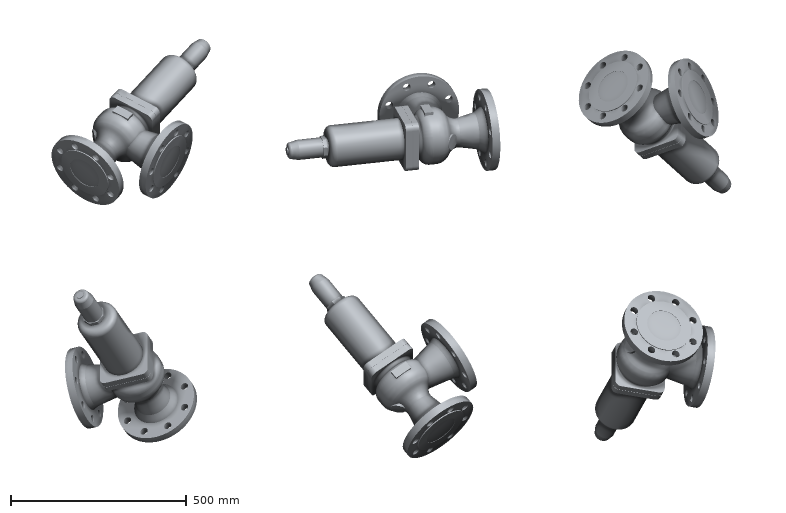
import cadquery as cq
import math


FLANGE_DIAMETER = 235
FLANGE_THICKNESS = 23.0
BOLT_COUNT = 8
BOLT_HOLE_DIAMETER = 22.0
BOLT_CIRCLE_DIAMETER = 190.0
RAISED_FACE_DIAMETER = 163
RAISED_FACE_HEIGHT = 3.0
BORE_DIAMETER = 100.0
BORE_RECESS_DEPTH = 1.0

INLET_FLANGE_TOP = RAISED_FACE_HEIGHT + FLANGE_THICKNESS
INLET_HUB_RADIUS = 67.0
INLET_HUB_END = 47.5
INLET_CONE_RADIUS = 53.0
INLET_CONE_END = 101.0
THROAT_RADIUS = 41.5

BULB_RADIUS = 82.5
BULB_BAND_START = 172.0
BULB_BAND_END = 190.0
BULB_LOWER_ARC = 42
BULB_UPPER_ARC = 30

COLLAR_RADIUS = 62.5
COLLAR_END = 226.5
COLLAR_LOWER_FILLET = 5.5

PLATE_WIDTH = 147.5
PLATE_CORNER_RADIUS = 17.5
PLATE_BOTTOM = 231.0
PLATE_SPLIT = 248.0
GASKET_THICKNESS = 3.0
GASKET_INSET = 0.5
PLATE_TOP = 270.0

HOUSING_RADIUS = 60
HOUSING_TOP = 484.0
HOUSING_TOP_ROUND = 16.0
CAP_COLLAR_RADIUS = 27.0
NUT_START = 489.0
NUT_END = 501.0
NUT_WIDTH = 61.0
NUT_SIDES = 8
CAP_RADIUS = 29.0
CAP_TAPER_START = 571.5
CAP_TAPER_END = 591.0
CAP_TAPER_RADIUS = 24
CAP_TOP = 599.5
CAP_TOP_RADIUS = CAP_TAPER_RADIUS - (CAP_TOP - CAP_TAPER_END)
CAP_TIP_RADIUS = 11.0
TOTAL_LENGTH = 603

OUTLET_AXIS_Y = 175.5
OUTLET_FACE_X = 175
OUTLET_FLANGE_X = OUTLET_FACE_X - RAISED_FACE_HEIGHT - FLANGE_THICKNESS
OUTLET_HUB_X = 133.0
OUTLET_HUB_RADIUS = 67.5
OUTLET_CONE_RADIUS = 61.0
OUTLET_ROOT_RADIUS = 35.5

BOSS_DIAMETER = 45.0
BOSS_X = -58.0
BOSS_Y = 128.0
BOSS_LENGTH = 48

LABEL_WIDTH = 53.0
LABEL_START = 177.0
LABEL_LENGTH = 25.5
LABEL_TOP = 87.0


def along_y(start):
    """Workplane square to the Y axis whose extrusions run toward +Y."""
    return cq.Workplane(cq.Plane(origin=(0, start, 0), xDir=(1, 0, 0), normal=(0, 1, 0)))


def pipe_flange(face_center, inward):
    """Flange whose sealing face sits at face_center; material runs inward."""
    plane = cq.Plane(origin=face_center, xDir=(0, 0, 1), normal=inward)
    face = cq.Workplane(plane)
    raised = face.circle(RAISED_FACE_DIAMETER / 2).extrude(RAISED_FACE_HEIGHT)
    disc = (
        face.workplane(offset=RAISED_FACE_HEIGHT)
        .circle(FLANGE_DIAMETER / 2)
        .extrude(FLANGE_THICKNESS)
    )
    holes = (
        face.polarArray(BOLT_CIRCLE_DIAMETER / 2, 180 / BOLT_COUNT, 360, BOLT_COUNT)
        .circle(BOLT_HOLE_DIAMETER / 2)
        .extrude(RAISED_FACE_HEIGHT + FLANGE_THICKNESS)
    )
    recess = face.circle(BORE_DIAMETER / 2).extrude(BORE_RECESS_DEPTH)
    return disc.union(raised).cut(holes).cut(recess)


def arc_point(center, radius, angle):
    """Point on a circle at an angle in degrees."""
    return (
        center[0] + radius * math.cos(math.radians(angle)),
        center[1] + radius * math.sin(math.radians(angle)),
    )


def valve_body():
    """Inlet neck, bulb and collar turned about the Y axis."""
    lower_center = (BULB_RADIUS - BULB_LOWER_ARC, BULB_BAND_START)
    upper_center = (BULB_RADIUS - BULB_UPPER_ARC, BULB_BAND_END)

    rise = lower_center[1] - INLET_CONE_END
    gap = lower_center[0] - THROAT_RADIUS
    throat_arc = (rise**2 + gap**2 - BULB_LOWER_ARC**2) / (2 * (BULB_LOWER_ARC + gap))
    throat_center = (THROAT_RADIUS + throat_arc, INLET_CONE_END)
    tangent_angle = math.degrees(
        math.atan2(rise, lower_center[0] - throat_center[0])
    )
    throat_end = arc_point(throat_center, throat_arc, tangent_angle)
    throat_middle = arc_point(throat_center, throat_arc, (180 + tangent_angle) / 2)
    lower_middle = arc_point(lower_center, BULB_LOWER_ARC, (tangent_angle - 180) / 2)

    fillet_center_x = COLLAR_RADIUS + COLLAR_LOWER_FILLET
    reach = BULB_UPPER_ARC + COLLAR_LOWER_FILLET
    upper_angle = math.degrees(math.acos((fillet_center_x - upper_center[0]) / reach))
    fillet_center = arc_point(upper_center, reach, upper_angle)
    upper_middle = arc_point(upper_center, BULB_UPPER_ARC, upper_angle / 2)
    upper_end = arc_point(upper_center, BULB_UPPER_ARC, upper_angle)
    fillet_middle = arc_point(fillet_center, COLLAR_LOWER_FILLET, 180 + upper_angle / 2)

    plate_fillet = PLATE_BOTTOM - COLLAR_END
    plate_fillet_center = (COLLAR_RADIUS + plate_fillet, COLLAR_END)

    return (
        cq.Workplane("XY")
        .moveTo(0, INLET_FLANGE_TOP)
        .lineTo(INLET_HUB_RADIUS, INLET_FLANGE_TOP)
        .lineTo(INLET_CONE_RADIUS, INLET_HUB_END)
        .lineTo(THROAT_RADIUS, INLET_CONE_END)
        .threePointArc(throat_middle, throat_end)
        .threePointArc(lower_middle, (BULB_RADIUS, BULB_BAND_START))
        .lineTo(BULB_RADIUS, BULB_BAND_END)
        .threePointArc(upper_middle, upper_end)
        .threePointArc(fillet_middle, (COLLAR_RADIUS, fillet_center[1]))
        .lineTo(COLLAR_RADIUS, COLLAR_END)
        .threePointArc(
            arc_point(plate_fillet_center, plate_fillet, 135),
            (COLLAR_RADIUS + plate_fillet, PLATE_BOTTOM),
        )
        .lineTo(0, PLATE_BOTTOM)
        .close()
        .revolve(360, (0, 0, 0), (0, 1, 0))
    )


def rounded_plate(start, end, inset=0):
    width = PLATE_WIDTH - 2 * inset
    return (
        along_y(start)
        .rect(width, width)
        .extrude(end - start)
        .edges("|Y")
        .fillet(PLATE_CORNER_RADIUS - inset)
    )


def bonnet_plates():
    gasket_end = PLATE_SPLIT + GASKET_THICKNESS
    return (
        rounded_plate(PLATE_BOTTOM, PLATE_SPLIT)
        .union(rounded_plate(PLATE_SPLIT, gasket_end, GASKET_INSET))
        .union(rounded_plate(gasket_end, PLATE_TOP))
    )


def spring_housing():
    return (
        along_y(PLATE_TOP)
        .circle(HOUSING_RADIUS)
        .extrude(HOUSING_TOP - PLATE_TOP)
        .faces(">Y")
        .edges()
        .fillet(HOUSING_TOP_ROUND)
    )


def cap():
    """Collar, octagonal nut and tapered cap on the end of the housing."""
    collar = along_y(HOUSING_TOP).circle(CAP_COLLAR_RADIUS).extrude(NUT_START - HOUSING_TOP)
    corner_diameter = NUT_WIDTH / math.cos(math.pi / NUT_SIDES)
    nut = (
        along_y(NUT_START)
        .polygon(NUT_SIDES, corner_diameter)
        .extrude(NUT_END - NUT_START)
        .rotate((0, 0, 0), (0, 1, 0), 180 / NUT_SIDES)
    )
    shoulder_center = (CAP_TOP_RADIUS, CAP_TAPER_END)
    shoulder_middle = arc_point(shoulder_center, CAP_TOP - CAP_TAPER_END, 45)
    shell = (
        cq.Workplane("XY")
        .moveTo(0, NUT_END)
        .lineTo(CAP_RADIUS, NUT_END)
        .lineTo(CAP_RADIUS, CAP_TAPER_START)
        .lineTo(CAP_TAPER_RADIUS, CAP_TAPER_END)
        .threePointArc(shoulder_middle, (CAP_TOP_RADIUS, CAP_TOP))
        .lineTo(CAP_TIP_RADIUS, CAP_TOP)
        .lineTo(CAP_TIP_RADIUS, TOTAL_LENGTH)
        .lineTo(0, TOTAL_LENGTH)
        .close()
        .revolve(360, (0, 0, 0), (0, 1, 0))
    )
    return collar.union(nut).union(shell)


def outlet_branch():
    """Cone from the middle of the bulb to the outlet flange."""
    return (
        cq.Workplane("XY", origin=(0, OUTLET_AXIS_Y, 0))
        .lineTo(0, OUTLET_ROOT_RADIUS)
        .lineTo(OUTLET_HUB_X, OUTLET_CONE_RADIUS)
        .lineTo(OUTLET_FLANGE_X, OUTLET_HUB_RADIUS)
        .lineTo(OUTLET_FLANGE_X, 0)
        .close()
        .revolve(360, (0, 0, 0), (1, 0, 0))
    )


def drain_boss():
    plane = cq.Plane(origin=(BOSS_X, BOSS_Y, 0), xDir=(0, 0, 1), normal=(1, 1, 0))
    return cq.Workplane(plane).circle(BOSS_DIAMETER / 2).extrude(BOSS_LENGTH)


def name_plate():
    """Block that rises from inside the bulb to a flat top."""
    return cq.Workplane("XY", origin=(0, LABEL_START, 0)).box(
        LABEL_WIDTH, LABEL_LENGTH, LABEL_TOP, centered=(True, False, False)
    )


inlet_flange = pipe_flange((0, 0, 0), (0, 1, 0))
outlet_flange = pipe_flange((OUTLET_FACE_X, OUTLET_AXIS_Y, 0), (-1, 0, 0))

result = (
    valve_body()
    .union(inlet_flange)
    .union(outlet_branch())
    .union(outlet_flange)
    .union(bonnet_plates())
    .union(spring_housing())
    .union(cap())
    .union(drain_boss())
    .union(name_plate())
)